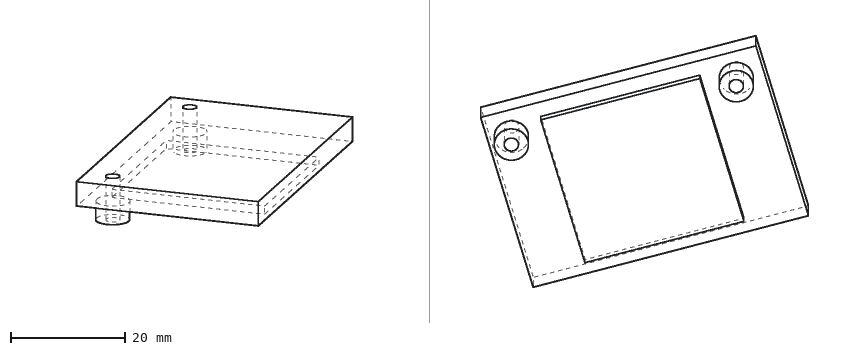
import cadquery as cq

plate_width = 33.81
plate_length = 50.21
plate_thickness = 4.5

standoff_diameter = 6.0
standoff_height = 3.5
hole_diameter = 2.5
standoff_x = 5.0
first_standoff_y = 5.0
standoff_spacing = 41.0
standoff_centers = [
    (standoff_x, first_standoff_y),
    (standoff_x, first_standoff_y + standoff_spacing),
]

pad_thickness = 1.5
pad_length = 29.0
pad_front_y = 11.0
pad_side_margin = 2.7
pad_width = plate_width - 2 * pad_side_margin


def make_plate():
    return cq.Workplane("XY").box(plate_width, plate_length, plate_thickness, centered=False)


def make_pad():
    pad = cq.Workplane("XY").box(pad_width, pad_length, pad_thickness, centered=False)
    return pad.translate((pad_side_margin, pad_front_y, -pad_thickness))


def make_standoffs():
    standoffs = cq.Workplane("XY").pushPoints(standoff_centers)
    return standoffs.circle(standoff_diameter / 2).extrude(-standoff_height)


def make_through_holes():
    """Cutters that run through the plate and the standoffs."""
    holes = cq.Workplane("XY").workplane(offset=-standoff_height).pushPoints(standoff_centers)
    return holes.circle(hole_diameter / 2).extrude(standoff_height + plate_thickness)


result = make_plate().union(make_pad()).union(make_standoffs()).cut(make_through_holes())